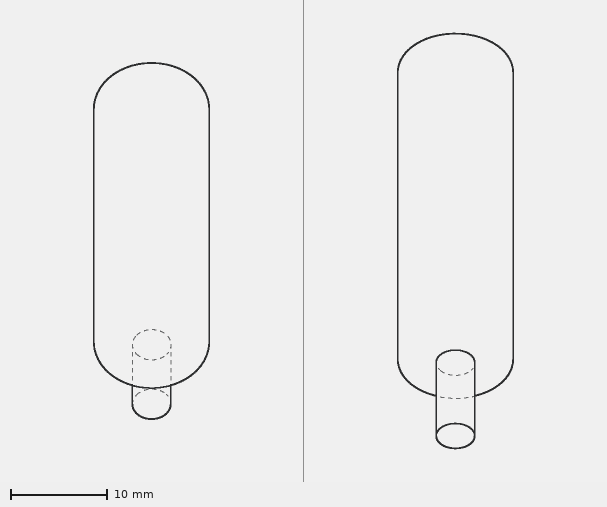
import cadquery as cq

body_diameter = 12
body_length = 40
pin_diameter = 4
pin_length = 10
edge_radius = 0.5

body = (
    cq.Workplane("XY")
    .workplane(offset=pin_length)
    .circle(body_diameter / 2)
    .extrude(body_length)
    .edges("%CIRCLE")
    .fillet(edge_radius)
)

pin = cq.Workplane("XY").circle(pin_diameter / 2).extrude(pin_length)

result = body.union(pin)